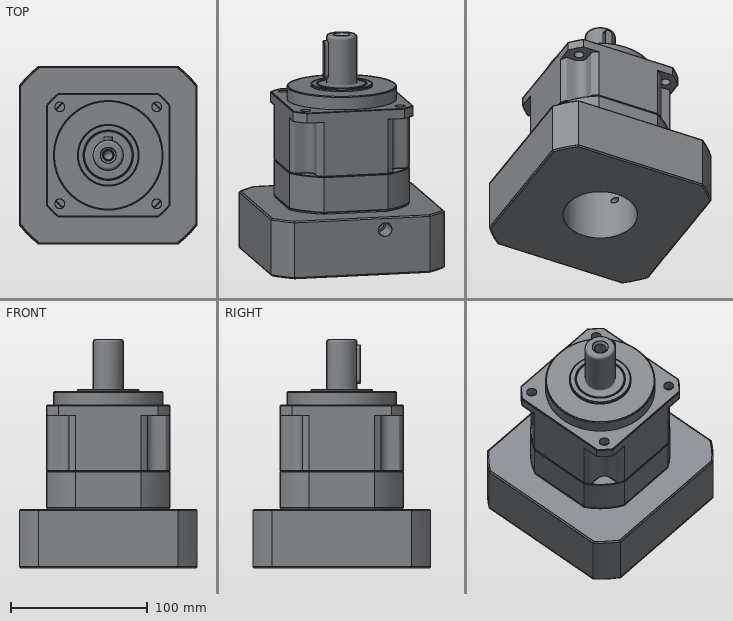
import cadquery as cq
import math

adapter_width = 130.0
adapter_corner_radius = 82.5
adapter_height = 43.0
adapter_chamfer = 1.0
motor_bore_radius = 27.2

access_y = -17.4
access_z = 33.5
access_radius = 5.0
access_depth = 20.0
screw_hole_radius = 2.3
screw_sink_radius = 3.7

housing_width = 90.0
housing_corner_diameter = 102.0
housing_corner_radius = housing_corner_diameter / 2
housing_chamfer = 0.5
collar_top = 44.0
joint_z = 70.8
flange_bottom = 111.5
flange_top = 119.0
pilot_top = 129.0
seal_disc_top = 130.6
flange_corner_radius = 58.0
pilot_diameter = 80.0
seal_disc_radius = 22.5
round_chamfer = 0.7

bolt_offset = 35.4
bolt_hole_radius = 3.5
recess_offset = 34.9
recess_radius = 6.3
recess_edge_fillet = 1.3

shaft_radius = 11.0
shaft_top = 167.0
shaft_top_fillet = 2.0
shaft_root_fillet = 0.5
shoulder_radius = 17.9
shoulder_bottom = flange_top
shoulder_chamfer = 0.5

key_width = 6.0
key_length = 28.0
key_bottom = 135.0
key_outer_y = 13.5
key_chamfer = 0.3

centre_sink_radius = 5.8
thread_radius = 4.2
thread_depth = 19.0
drill_radius = 3.3
drill_depth = 22.5
drill_tip_angle = 120.0

selector_margin = 0.2

corner_signs = [(1, 1), (-1, 1), (-1, -1), (1, -1)]


def turned_square(width, corner_radius, bottom, top):
    """Square block whose four corners are turned down to a common radius."""
    height = top - bottom
    square = cq.Workplane("XY").workplane(offset=bottom).rect(width, width).extrude(height)
    disc = cq.Workplane("XY").workplane(offset=bottom).circle(corner_radius).extrude(height)
    return square.intersect(disc)


def disc(radius, bottom, top):
    return cq.Workplane("XY").workplane(offset=bottom).circle(radius).extrude(top - bottom)


def make_access_hole():
    """Cutter for the stepped hole that runs along +X from the -X side to the motor bore."""
    outer_x = -adapter_width / 2
    floor = access_depth
    sink_end = floor + screw_sink_radius - screw_hole_radius
    hole_end = -outer_x
    return (
        cq.Workplane("XY")
        .lineTo(0, access_radius)
        .lineTo(floor, access_radius)
        .lineTo(floor, screw_sink_radius)
        .lineTo(sink_end, screw_hole_radius)
        .lineTo(hole_end, screw_hole_radius)
        .lineTo(hole_end, 0)
        .close()
        .revolve(360, (0, 0, 0), (1, 0, 0))
        .translate((outer_x, access_y, access_z))
    )


def make_adapter():
    """Plate with the motor bore and the access hole."""
    plate = turned_square(adapter_width, adapter_corner_radius, 0, adapter_height)
    plate = plate.faces("<Z or >Z").chamfer(adapter_chamfer)
    plate = plate.cut(disc(motor_bore_radius, 0, adapter_height))
    return plate.cut(make_access_hole())


def make_bolt_recess(sign_x, sign_y):
    """Cutter for one corner recess: a round root beside the bolt, open toward the two outer sides."""
    near = recess_offset - recess_radius
    far = housing_width
    arc_mid = recess_offset - recess_radius * math.sqrt(0.5)
    return (
        cq.Workplane("XY")
        .workplane(offset=joint_z)
        .moveTo(sign_x * far, sign_y * near)
        .lineTo(sign_x * recess_offset, sign_y * near)
        .threePointArc((sign_x * arc_mid, sign_y * arc_mid), (sign_x * near, sign_y * recess_offset))
        .lineTo(sign_x * near, sign_y * far)
        .lineTo(sign_x * far, sign_y * far)
        .close()
        .extrude(flange_bottom - joint_z)
    )


def recess_edge_boxes():
    """Small boxes around the eight vertical edges where the recesses meet the turned corners."""
    near = recess_offset - recess_radius
    reach = math.sqrt(housing_corner_radius**2 - near**2)
    return [
        cq.selectors.BoxSelector(
            (sx * x - selector_margin, sy * y - selector_margin, joint_z),
            (sx * x + selector_margin, sy * y + selector_margin, flange_bottom),
        )
        for sx, sy in corner_signs
        for x, y in ((near, reach), (reach, near))
    ]


def make_gear_section():
    """Upper housing section, recessed at its corners below the flange."""
    section = turned_square(housing_width, housing_corner_radius, joint_z, flange_bottom)
    for sign_x, sign_y in corner_signs:
        section = section.cut(make_bolt_recess(sign_x, sign_y))
    for box in recess_edge_boxes():
        section = section.edges(box).fillet(recess_edge_fillet)
    return section.faces("<Z").chamfer(housing_chamfer)


def make_shaft_seat():
    """Cutter for the seat that holds the shaft shoulder, chamfered at its mouth."""
    mouth_radius = shoulder_radius + shoulder_chamfer
    return (
        cq.Workplane("XZ")
        .moveTo(0, shoulder_bottom)
        .lineTo(shoulder_radius, shoulder_bottom)
        .lineTo(shoulder_radius, seal_disc_top - shoulder_chamfer)
        .lineTo(mouth_radius, seal_disc_top)
        .lineTo(0, seal_disc_top)
        .close()
        .revolve(360, (0, 0, 0), (0, 1, 0))
    )


def make_housing():
    """Collar, ring, recessed gear section, flange, pilot and seal disc in one piece."""
    collar_width = housing_width - 2 * housing_chamfer
    collar_radius = housing_corner_radius - housing_chamfer
    collar = turned_square(collar_width, collar_radius, adapter_height, collar_top)
    ring = turned_square(housing_width, housing_corner_radius, collar_top, joint_z)
    ring = ring.faces("<Z or >Z").chamfer(housing_chamfer)
    flange = turned_square(housing_width, flange_corner_radius, flange_bottom, flange_top)
    flange = flange.faces(">Z").chamfer(housing_chamfer)
    flange = (
        flange.faces(">Z")
        .workplane(origin=(0, 0, flange_top))
        .rect(2 * bolt_offset, 2 * bolt_offset, forConstruction=True)
        .vertices()
        .hole(2 * bolt_hole_radius)
    )
    pilot = disc(pilot_diameter / 2, flange_top, pilot_top).faces(">Z").chamfer(round_chamfer)
    seal_disc = disc(seal_disc_radius, pilot_top, seal_disc_top).faces(">Z").chamfer(round_chamfer)
    housing = collar.union(ring).union(make_gear_section()).union(flange).union(pilot).union(seal_disc)
    return housing.cut(make_shaft_seat())


def make_key():
    """Round-ended key, chamfered on its outer face, standing out of the shaft on the +Y side."""
    return (
        cq.Workplane("XZ")
        .center(0, key_bottom + key_length / 2)
        .slot2D(key_length, key_width, 90)
        .extrude(-key_outer_y)
        .faces(">Y")
        .chamfer(key_chamfer)
    )


def make_centre_hole():
    """Cutter for the countersunk, tapped hole with a conical drill tip."""
    sink_end = shaft_top - (centre_sink_radius - thread_radius)
    drill_end = shaft_top - drill_depth
    tip_z = drill_end - drill_radius / math.tan(math.radians(drill_tip_angle / 2))
    return (
        cq.Workplane("XZ")
        .moveTo(0, shaft_top)
        .lineTo(centre_sink_radius, shaft_top)
        .lineTo(thread_radius, sink_end)
        .lineTo(thread_radius, shaft_top - thread_depth)
        .lineTo(drill_radius, shaft_top - thread_depth)
        .lineTo(drill_radius, drill_end)
        .lineTo(0, tip_z)
        .close()
        .revolve(360, (0, 0, 0), (0, 1, 0))
    )


def make_output_shaft():
    """Shaft end with its shoulder and key in one piece."""
    shoulder = disc(shoulder_radius, shoulder_bottom, seal_disc_top).faces(">Z").chamfer(shoulder_chamfer)
    shaft = shoulder.union(disc(shaft_radius, seal_disc_top, shaft_top))
    shaft = shaft.faces(">Z").edges().fillet(shaft_top_fillet)
    reach = shaft_radius + selector_margin
    root = cq.selectors.BoxSelector(
        (-reach, -reach, seal_disc_top - selector_margin),
        (reach, reach, seal_disc_top + selector_margin),
        boundingbox=True,
    )
    shaft = shaft.edges(root).fillet(shaft_root_fillet)
    return shaft.union(make_key()).cut(make_centre_hole())


adapter = make_adapter()
housing = make_housing()
output_shaft = make_output_shaft()

result = cq.Compound.makeCompound([adapter.val(), housing.val(), output_shaft.val()])